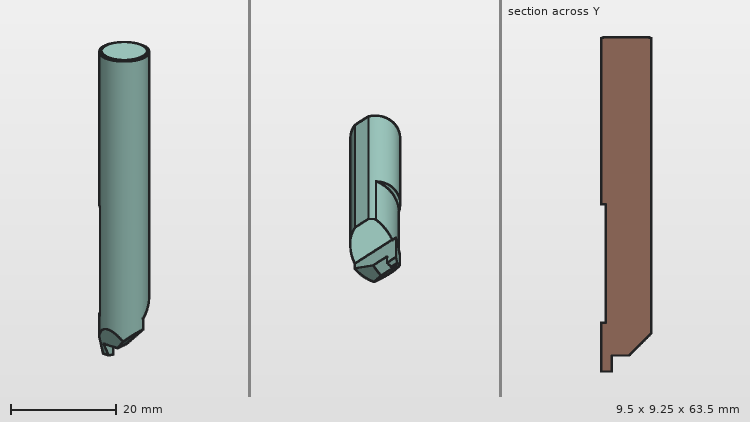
import cadquery as cq
import math

length = 63.5
diameter = 9.5
radius = diameter / 2
back_flat_y = 4.5
chamfer_width = 0.45
chamfer_height = 0.2

recess_bottom = 9.35
recess_top = 31.75
recess_floor_x = -3.95
recess_edge_y = 3.84
recess_edge_x = -math.sqrt(radius**2 - recess_edge_y**2)

rake_top = 9.5
flank_y = -3.3
flank_x = -math.sqrt(radius**2 - flank_y**2)
front_slope_top = 7.5
front_slope_angle = 26.0
neck_z = 3.05
neck_x = 0.5
tooth_inner_x = -2.7
tooth_side_relief_angle = 5.0
tooth_end_relief_angle = 7.0

margin = 6.35
reach = radius + margin


def rise(run, degrees):
    """Offset of a line inclined by the given angle after a run."""
    return run * math.tan(math.radians(degrees))


def side_prism(points):
    """Prism across the whole width in X, outlined by (y, z) points."""
    return cq.Workplane("YZ").polyline(points).close().extrude(reach, both=True)


def make_shank():
    profile = [
        (0, 0),
        (radius, 0),
        (radius, length - chamfer_height),
        (radius - chamfer_width, length),
        (0, length),
    ]
    shank = cq.Workplane("XZ").polyline(profile).close().revolve(360, (0, 0), (0, 1))
    back = cq.Workplane("XY").box(2 * reach, margin, length, centered=(True, False, False))
    return shank.cut(back.translate((0, back_flat_y, 0)))


def make_recess():
    return (
        cq.Workplane("XY", origin=(0, 0, recess_bottom))
        .moveTo(recess_edge_x, -recess_edge_y)
        .threePointArc((recess_floor_x, 0), (recess_edge_x, recess_edge_y))
        .lineTo(-reach, recess_edge_y)
        .lineTo(-reach, -recess_edge_y)
        .close()
        .extrude(recess_top - recess_bottom)
    )


def make_rake_cut():
    """Space above the rake face, ending in a 45 degree run-out."""
    return side_prism([(0, -margin), (0, rake_top), (reach, rake_top + reach), (reach, -margin)])


def make_front_slope_cut():
    """Space below the slope that thins the tip towards its end."""
    drop = front_slope_top + margin
    slope_end_y = -radius + rise(drop, front_slope_angle)
    slope_start_y = -radius - rise(margin, front_slope_angle)
    return side_prism([
        (slope_start_y, front_slope_top + margin),
        (slope_end_y, -margin),
        (slope_start_y, -margin),
    ])


def make_end_relief_cut():
    """Wedge below the tooth, leaving the cutting edge at y = 0 lowest."""
    return side_prism([(0, 0), (-reach, rise(reach, tooth_end_relief_angle)), (-reach, 0)])


def make_flank_cut():
    """Segment outside the flat side flank, below the recess."""
    return (
        cq.Workplane("XY")
        .polyline([(-radius, 0), (flank_x, flank_y), (-reach, flank_y)])
        .close()
        .extrude(recess_bottom)
    )


def make_neck_cut():
    """Space under the shank beside the tooth, with a 45 degree corner bevel."""
    corner_run = reach - neck_x
    outline = [
        (tooth_inner_x, -margin),
        (tooth_inner_x, neck_z),
        (neck_x, neck_z),
        (reach, neck_z + corner_run),
        (reach, -margin),
    ]
    return cq.Workplane("XZ").polyline(outline).close().extrude(reach, both=True)


def make_tooth_side_relief_cut():
    """Wedge that narrows the tooth away from its cutting edge."""
    relief = rise(reach, tooth_side_relief_angle)
    outline = [(tooth_inner_x, 0), (tooth_inner_x - relief, -reach), (tooth_inner_x, -reach)]
    return cq.Workplane("XY").polyline(outline).close().extrude(neck_z)


result = (
    make_shank()
    .cut(make_recess())
    .cut(make_rake_cut())
    .cut(make_front_slope_cut())
    .cut(make_end_relief_cut())
    .cut(make_flank_cut())
    .cut(make_neck_cut())
    .cut(make_tooth_side_relief_cut())
)